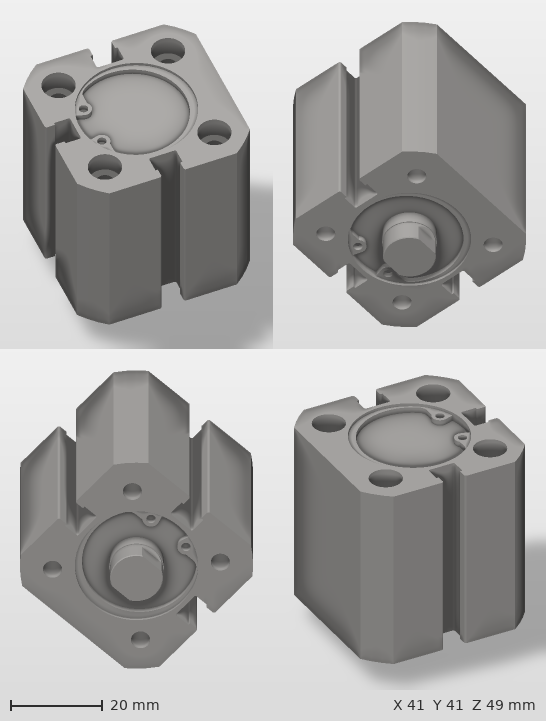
import cadquery as cq
import math

TOTAL_HEIGHT = 49.0
ROD_PROTRUSION = 6.0
HOUSING_WIDTH = 41.0
HOUSING_CORNER_DIAMETER = 50.95
HOUSING_HEIGHT = TOTAL_HEIGHT - ROD_PROTRUSION
HOUSING_MIDDLE_Z = ROD_PROTRUSION + HOUSING_HEIGHT / 2

SLOT_DEPTH = 6.05
SLOT_WIDTH = 6.4
SLOT_FLOOR_FILLET = 0.4
SLOT_MOUTH_WIDTH = 5.3
SLOT_LIP_DEPTH = 2.3
SLOT_LIP_FILLET = 0.5
SLOT_ANGLES = (-90, 0, 180)

HOLE_PITCH = 25.95
HOLE_DIAMETER = 4.15
COUNTERBORE_DIAMETER = 7.5
COUNTERBORE_DEPTH = 5.0

BORE_RADIUS = 13.48
RING_DIAMETER = 28.75
RING_RADIUS = RING_DIAMETER / 2
RING_THICKNESS = 1.35
RING_SETBACK = 0.75

RING_INNER_RADIUS = 12.55
RING_INNER_OFFSET = -0.95
LUG_EDGE_Y = -9.0
LUG_FILLET = 2.35
EAR_X = 5.15
EAR_Y = -10.4
EAR_RADIUS = 1.85
EAR_HOLE_DIAMETER = 2.05

HEAD_COVER_THICKNESS = 4.9
ROD_COVER_THICKNESS = 9.8
COVER_SETBACK = RING_SETBACK + RING_THICKNESS
HEAD_COVER_BOTTOM_Z = TOTAL_HEIGHT - COVER_SETBACK - HEAD_COVER_THICKNESS
ROD_COVER_BOTTOM_Z = ROD_PROTRUSION + COVER_SETBACK

ROD_DIAMETER = 11.95
TIP_DIAMETER = 11.55
TIP_LENGTH = 5.0
TIP_CHAMFER = 0.2
FLATS_WIDTH = 10.0
FLATS_LENGTH = 4.0


def slot_cutter():
    """T-slot through the full housing height, opening on the +X side."""
    half_side = HOUSING_WIDTH / 2
    lip_x = half_side - SLOT_LIP_DEPTH
    floor_x = half_side - SLOT_DEPTH
    mouth_y = SLOT_MOUTH_WIDTH / 2
    pocket = (
        cq.Workplane("XY", origin=(0, 0, ROD_PROTRUSION))
        .moveTo((floor_x + lip_x) / 2, 0)
        .rect(lip_x - floor_x, SLOT_WIDTH)
        .extrude(HOUSING_HEIGHT)
        .edges("|Z and <X")
        .fillet(SLOT_FLOOR_FILLET)
    )
    mouth = (
        cq.Workplane("XY", origin=(0, 0, ROD_PROTRUSION))
        .moveTo(lip_x, -mouth_y)
        .lineTo(half_side - SLOT_LIP_FILLET, -mouth_y)
        .radiusArc((half_side, -mouth_y - SLOT_LIP_FILLET), SLOT_LIP_FILLET)
        .lineTo(half_side, mouth_y + SLOT_LIP_FILLET)
        .radiusArc((half_side - SLOT_LIP_FILLET, mouth_y), SLOT_LIP_FILLET)
        .lineTo(lip_x, mouth_y)
        .close()
        .extrude(HOUSING_HEIGHT)
    )
    return pocket.union(mouth)


def retaining_ring(bottom_z):
    """Internal circlip: an eccentric band with two drilled ears beside a gap on the -Y side."""
    ear_distance = math.hypot(EAR_X, EAR_Y)
    gap_angle = math.atan2(EAR_X, -EAR_Y) - math.asin(EAR_RADIUS / ear_distance)
    tangent_distance = math.sqrt(ear_distance**2 - EAR_RADIUS**2)

    fillet_center_y = LUG_EDGE_Y + LUG_FILLET
    fillet_center_distance = RING_INNER_RADIUS - LUG_FILLET
    fillet_rise = fillet_center_y - RING_INNER_OFFSET
    fillet_x = math.sqrt(fillet_center_distance**2 - fillet_rise**2)
    blend_scale = RING_INNER_RADIUS / fillet_center_distance
    blend_x = fillet_x * blend_scale
    blend_y = RING_INNER_OFFSET + fillet_rise * blend_scale
    lug_end_x = EAR_X + math.sqrt(EAR_RADIUS**2 - (LUG_EDGE_Y - EAR_Y) ** 2)

    def on_gap_side(side, distance):
        return side * distance * math.sin(gap_angle), -distance * math.cos(gap_angle)

    gap_reach = 2 * RING_RADIUS
    opening = (
        cq.Workplane("XY", origin=(0, 0, bottom_z))
        .moveTo(*on_gap_side(1, gap_reach))
        .lineTo(*on_gap_side(1, tangent_distance))
        .threePointArc((EAR_X, EAR_Y + EAR_RADIUS), (lug_end_x, LUG_EDGE_Y))
        .lineTo(fillet_x, LUG_EDGE_Y)
        .radiusArc((blend_x, blend_y), -LUG_FILLET)
        .threePointArc((0, RING_INNER_OFFSET + RING_INNER_RADIUS), (-blend_x, blend_y))
        .radiusArc((-fillet_x, LUG_EDGE_Y), -LUG_FILLET)
        .lineTo(-lug_end_x, LUG_EDGE_Y)
        .threePointArc((-EAR_X, EAR_Y + EAR_RADIUS), on_gap_side(-1, tangent_distance))
        .lineTo(*on_gap_side(-1, gap_reach))
        .close()
        .extrude(RING_THICKNESS)
    )
    ear_holes = (
        cq.Workplane("XY", origin=(0, 0, bottom_z))
        .pushPoints([(-EAR_X, EAR_Y), (EAR_X, EAR_Y)])
        .circle(EAR_HOLE_DIAMETER / 2)
        .extrude(RING_THICKNESS)
    )
    blank = cq.Workplane("XY", origin=(0, 0, bottom_z)).circle(RING_RADIUS).extrude(RING_THICKNESS)
    return blank.cut(opening).cut(ear_holes)


def make_housing(rings):
    """Square tube with turned corners, slots, mounting holes and a seat for each ring."""
    corner_round = (
        cq.Workplane("XY", origin=(0, 0, ROD_PROTRUSION))
        .circle(HOUSING_CORNER_DIAMETER / 2)
        .extrude(HOUSING_HEIGHT)
    )
    body = (
        cq.Workplane("XY", origin=(0, 0, HOUSING_MIDDLE_Z))
        .box(HOUSING_WIDTH, HOUSING_WIDTH, HOUSING_HEIGHT)
        .intersect(corner_round)
        .faces(">Z")
        .workplane(origin=(0, 0, TOTAL_HEIGHT))
        .hole(2 * BORE_RADIUS)
        .faces(">Z")
        .workplane(origin=(0, 0, TOTAL_HEIGHT))
        .rect(HOLE_PITCH, HOLE_PITCH, forConstruction=True)
        .vertices()
        .cboreHole(HOLE_DIAMETER, COUNTERBORE_DIAMETER, COUNTERBORE_DEPTH)
    )
    slot = slot_cutter()
    for angle in SLOT_ANGLES:
        body = body.cut(slot.rotate((0, 0, 0), (0, 0, 1), angle))
    for ring in rings:
        body = body.cut(ring)
    return body


def make_head_cover():
    """Plain disc that closes the top of the bore, under the upper ring."""
    return (
        cq.Workplane("XY", origin=(0, 0, HEAD_COVER_BOTTOM_Z))
        .circle(BORE_RADIUS)
        .extrude(HEAD_COVER_THICKNESS)
    )


def make_rod_cover():
    """Disc above the lower ring, with a hole that guides the rod."""
    return (
        cq.Workplane("XY", origin=(0, 0, ROD_COVER_BOTTOM_Z))
        .circle(BORE_RADIUS)
        .circle(ROD_DIAMETER / 2)
        .extrude(ROD_COVER_THICKNESS)
    )


def flat_cutter():
    """Removes one wrench flat on the +Y side, with a 45 degree run-out at its upper end."""
    flat_y = FLATS_WIDTH / 2
    run_out = ROD_DIAMETER - flat_y
    return (
        cq.Workplane("YZ")
        .moveTo(flat_y, 0)
        .lineTo(flat_y, FLATS_LENGTH)
        .lineTo(flat_y + run_out, FLATS_LENGTH + run_out)
        .lineTo(flat_y + run_out, 0)
        .close()
        .extrude(ROD_DIAMETER / 2, both=True)
    )


def make_rod():
    """Round rod from its flatted tip up to the head cover."""
    tip = (
        cq.Workplane("XY")
        .circle(TIP_DIAMETER / 2)
        .extrude(TIP_LENGTH)
        .faces("<Z")
        .chamfer(TIP_CHAMFER)
    )
    shaft = (
        cq.Workplane("XY", origin=(0, 0, TIP_LENGTH))
        .circle(ROD_DIAMETER / 2)
        .extrude(HEAD_COVER_BOTTOM_Z - TIP_LENGTH)
    )
    flat = flat_cutter()
    return tip.union(shaft).cut(flat).cut(flat.mirror("XZ"))


ring_bottoms = (
    ROD_PROTRUSION + RING_SETBACK,
    TOTAL_HEIGHT - RING_SETBACK - RING_THICKNESS,
)
rings = [retaining_ring(bottom_z) for bottom_z in ring_bottoms]
housing = make_housing(rings)
head_cover = make_head_cover()
rod_cover = make_rod_cover()
rod = make_rod()

result = cq.Compound.makeCompound(
    [
        housing.val(),
        head_cover.val(),
        rod_cover.val(),
        rod.val(),
        *[ring.val() for ring in rings],
    ]
)